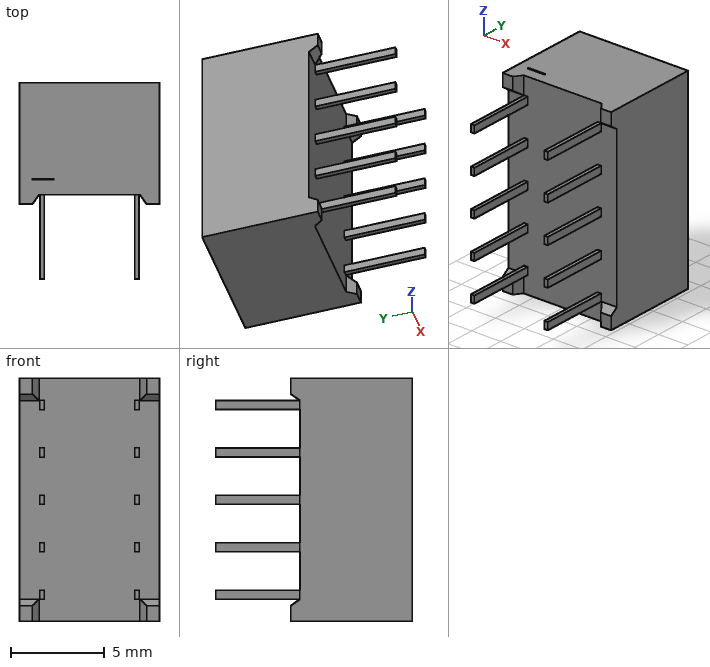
import cadquery as cq

body_width = 7.5
body_height = 13.0
body_depth = 6.0

foot_height = 0.5
foot_base_width = 1.05
foot_base_length = 1.2
foot_tip_width = 0.7
foot_tip_length = 0.85

pin_thickness = 0.25
pin_width = 0.5
pin_length = 4.5
pin_pitch = 2.54
pin_column_spacing = 2 * pin_pitch
pins_per_column = 5

mark_length = 1.15
mark_width = 0.05
mark_depth = 0.05
mark_side_offset = 0.69
mark_face_offset = 0.83


def make_housing():
    """Block centred in X and Z, with the pin face at Y = 0."""
    return cq.Workplane("XY").box(
        body_width, body_depth, body_height, centered=(True, False, True)
    )


def make_foot():
    """Foot at the -X, -Z corner, tapering towards -Y."""
    corner = (-body_width / 2, -body_height / 2)
    return (
        cq.Workplane("XZ")
        .moveTo(*corner)
        .rect(foot_base_width, foot_base_length, centered=False)
        .workplane(offset=foot_height)
        .moveTo(*corner)
        .rect(foot_tip_width, foot_tip_length, centered=False)
        .loft(ruled=True)
    )


def make_pins():
    """Grid of rectangular pins projecting from the pin face."""
    return (
        cq.Workplane("XZ")
        .rarray(pin_column_spacing, pin_pitch, 2, pins_per_column)
        .rect(pin_thickness, pin_width)
        .extrude(pin_length)
    )


def make_mark():
    """Cutter for the groove near the -X end of the top face."""
    return cq.Workplane("XY").box(
        mark_length, mark_width, mark_depth, centered=(False, True, False)
    ).translate((
        -body_width / 2 + mark_side_offset,
        mark_face_offset,
        body_height / 2 - mark_depth,
    ))


foot_low_left = make_foot()
foot_low_right = foot_low_left.mirror("YZ")

result = make_housing()
for low_foot in (foot_low_left, foot_low_right):
    result = result.union(low_foot).union(low_foot.mirror("XY"))
result = result.union(make_pins()).cut(make_mark())